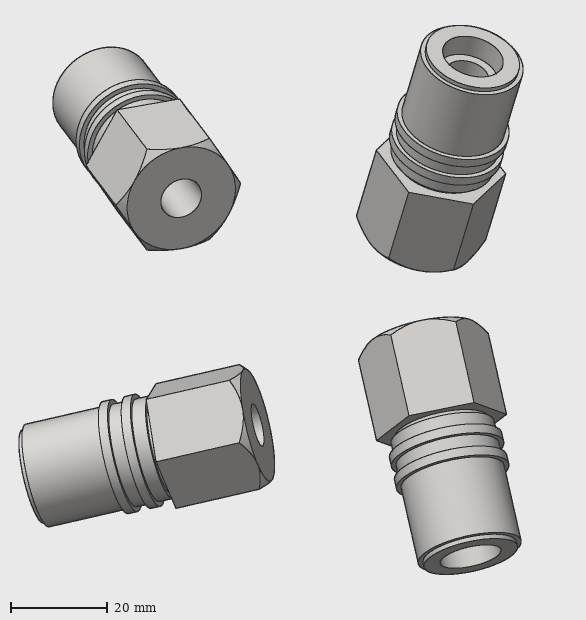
import cadquery as cq
import math

total_length = 49.0
across_flats = 24.0
across_corners = across_flats / math.cos(math.radians(30))

tip_diameter = 20.0
body_diameter = 22.0
ring_diameter = across_flats
body_start = 1.0
body_end = 28.0
hex_start = 29.0

ring_width = 2.0
ring_starts = (18.0, 23.0)

entry_bore_diameter = 13.0
entry_bore_depth = 5.0
through_bore_diameter = 9.0


def cylinder_x(diameter, start, end):
    """Cylinder on the X axis between two stations."""
    return cq.Workplane("YZ", origin=(start, 0, 0)).circle(diameter / 2).extrude(end - start)


def hexagon_end():
    """Hexagon with corners on +/-Y, its free end turned to a 45 degree cone."""
    hexagon = (
        cq.Workplane("YZ", origin=(hex_start, 0, 0))
        .polygon(6, across_corners)
        .extrude(total_length - hex_start)
    )
    corner_radius = across_corners / 2
    chamfer = corner_radius - across_flats / 2
    turned_blank = (
        cylinder_x(across_corners, hex_start, total_length)
        .faces(">X")
        .chamfer(chamfer)
    )
    return hexagon.intersect(turned_blank)


def plug_body():
    """Tip and neck core, main body and the raised rings."""
    body = cylinder_x(tip_diameter, 0, hex_start)
    body = body.union(cylinder_x(body_diameter, body_start, body_end))
    for ring_start in ring_starts:
        body = body.union(cylinder_x(ring_diameter, ring_start, ring_start + ring_width))
    return body


entry_bore = cylinder_x(entry_bore_diameter, 0, entry_bore_depth)
through_bore = cylinder_x(through_bore_diameter, 0, total_length)

result = plug_body().union(hexagon_end()).cut(entry_bore).cut(through_bore)